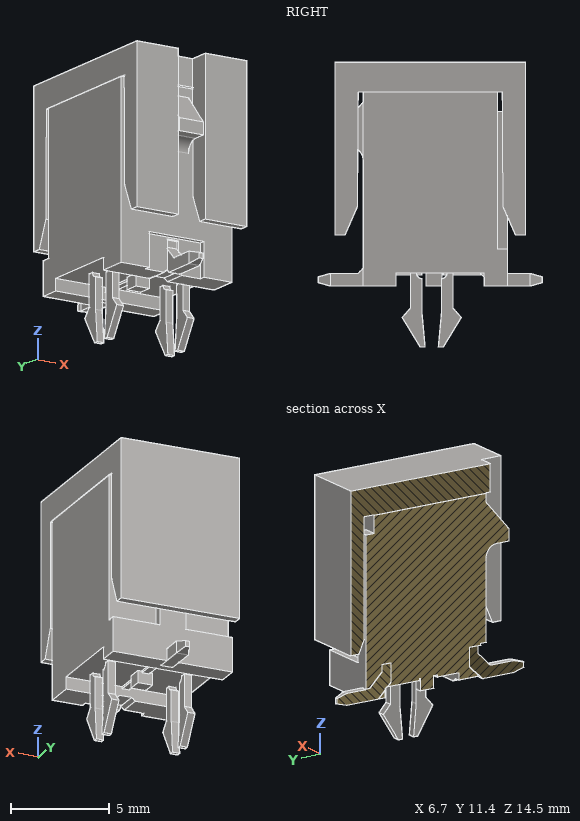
import cadquery as cq
import math

housing_width = 6.7
housing_front = -3.42
housing_rear = 3.43
housing_height = 9.87
foot_rear = 3.93
foot_height = 1.9

notch_front = -1.74
notch_rear = 2.74
notch_height = 0.67
stub_front = -0.22
stub_rear = 0.6
rib_gap_front = -0.43
rib_gap_rear = 0.65
rib_drop = 0.11
rib_width = 0.4

recess_width = 3.3
recess_depth = 0.34
flare_side = 0.2
flare_height = 0.17

latch_width = 1.45
latch_reach = 4.8
latch_top = 9.37
latch_slope_end = 7.75
latch_bottom = 7.06
latch_fillet = 0.64
rail_top = 8.9

cap_width = 6.65
cap_length = 9.7
cap_top = 11.4
leg_bottom = 2.6
leg_taper_top = 4.05
leg_inner_top = 3.66
leg_inner_low = 3.7
leg_tip_thickness = 0.52
slot_width = 1.63
rail_clearance = 0.08

pin_size = 0.66
pin_tip_width = 0.24
pin_tip_height = 0.3
pin_tip_reach = 5.7
pin_straight_reach = 5.08
pin_top = 1.8
pin_bend_outer = 2.92
pin_bend_outer_height = 1.41
pin_bend_inner = 2.41
pin_bend_inner_height = 0.79

clip_pitch = 4.27
clip_thickness = 0.41
clip_centre = 0.075
clip_top = 3.0
clip_gap_top = 2.0
clip_bottom = -3.1
clip_half_width = 1.085
clip_half_gap = 0.49
clip_relief = 0.28
clip_shoulder = -1.11
clip_barb = -1.59
clip_barb_half = 1.51
clip_taper_start = -1.35
clip_tip_inner = 0.33
clip_tip_outer = 0.59


def block(x_width, y_start, y_end, z_start, z_end):
    """Box centred on X, between the given Y and Z limits."""
    return cq.Workplane("XY").box(
        x_width, y_end - y_start, z_end - z_start, centered=(True, False, False)
    ).translate((0, y_start, z_start))


def extrude_across(profile, width):
    """Closed (Y, Z) outline drawn on the YZ plane, extruded evenly about X = 0."""
    return profile.close().extrude(width / 2, both=True)


def make_terminal(side):
    """Pin with a pyramidal tip; side is -1 for the front and +1 for the rear."""
    outer_bend_start = pin_bend_outer + pin_bend_outer_height - pin_size
    inner_bend_start = pin_bend_inner + pin_bend_inner_height
    points = [
        (pin_straight_reach, 0),
        (pin_straight_reach, pin_size),
        (outer_bend_start, pin_size),
        (pin_bend_outer, pin_bend_outer_height),
        (pin_bend_outer, pin_top),
        (pin_bend_inner, pin_top),
        (pin_bend_inner, pin_bend_inner_height),
        (inner_bend_start, 0),
    ]
    body = extrude_across(cq.Workplane("YZ").polyline(points), pin_size)
    tip = (
        cq.Workplane("XZ", origin=(0, pin_straight_reach, pin_size / 2))
        .rect(pin_size, pin_size)
        .workplane(offset=pin_straight_reach - pin_tip_reach)
        .rect(pin_tip_width, pin_tip_height)
        .loft(combine=True)
    )
    terminal = body.union(tip)
    return terminal if side > 0 else terminal.mirror("XZ")


def make_clip(x_centre):
    """Forked clip with outward barbs and a relieved slot between its legs."""
    outline = cq.Workplane("YZ").polyline([
        (-clip_half_width, clip_top),
        (clip_half_width, clip_top),
        (clip_half_width, clip_shoulder),
        (clip_barb_half, clip_barb),
        (clip_tip_outer, clip_bottom),
        (-clip_tip_outer, clip_bottom),
        (-clip_barb_half, clip_barb),
        (-clip_half_width, clip_shoulder),
    ])
    relief_half_gap = clip_half_gap + clip_relief
    relief_bottom = notch_height - clip_relief
    arc_offset = clip_relief * math.sqrt(0.5)
    arc_mid = (clip_half_gap + arc_offset, notch_height - arc_offset)
    gap = (
        cq.Workplane("YZ")
        .moveTo(-clip_tip_inner, clip_bottom)
        .lineTo(clip_tip_inner, clip_bottom)
        .lineTo(clip_half_gap, clip_taper_start)
        .lineTo(clip_half_gap, relief_bottom)
        .threePointArc(arc_mid, (relief_half_gap, notch_height))
        .lineTo(relief_half_gap, clip_gap_top)
        .lineTo(-relief_half_gap, clip_gap_top)
        .lineTo(-relief_half_gap, notch_height)
        .threePointArc((-arc_mid[0], arc_mid[1]), (-clip_half_gap, relief_bottom))
        .lineTo(-clip_half_gap, clip_taper_start)
    )
    clip = extrude_across(outline, clip_thickness).cut(extrude_across(gap, clip_thickness))
    return clip.translate((x_centre, clip_centre, 0))


def make_latch():
    """Ramped catch with a concave fillet under it."""
    arc_centre_y = housing_front - latch_fillet
    arc_centre_z = latch_bottom - latch_fillet
    arc_offset = latch_fillet * math.sqrt(0.5)
    profile = (
        cq.Workplane("YZ")
        .moveTo(housing_front, latch_top)
        .lineTo(-latch_reach, latch_slope_end)
        .lineTo(-latch_reach, latch_bottom)
        .lineTo(arc_centre_y, latch_bottom)
        .threePointArc(
            (arc_centre_y + arc_offset, arc_centre_z + arc_offset),
            (housing_front, arc_centre_z),
        )
    )
    return extrude_across(profile, latch_width)


def make_flare():
    """Trapezoidal widening of the terminal channel at the base of the front wall."""
    half_pin = pin_size / 2
    return (
        cq.Workplane("XZ", origin=(0, housing_front, 0))
        .polyline([
            (-half_pin - flare_side, 0),
            (half_pin + flare_side, 0),
            (half_pin, flare_height),
            (-half_pin, flare_height),
        ])
        .close()
        .extrude(housing_front - notch_front)
    )


def make_housing(inserts):
    """Solid housing with channels that match the inserted terminals and clips."""
    body = block(housing_width, housing_front, housing_rear, 0, housing_height)
    body = body.union(block(housing_width, housing_rear, foot_rear, 0, foot_height))
    body = body.cut(block(housing_width, notch_front, notch_rear, 0, notch_height))
    body = body.union(block(stub_rear - stub_front, stub_front, stub_rear, 0, notch_height))
    for rib_start, rib_end in [(notch_front, rib_gap_front), (rib_gap_rear, notch_rear)]:
        body = body.union(block(rib_width, rib_start, rib_end, notch_height - rib_drop, notch_height))
    body = body.cut(block(recess_width, housing_front, housing_front + recess_depth, 0, foot_height))
    body = body.cut(block(pin_size, housing_front, -pin_bend_outer, 0, pin_top))
    body = body.cut(make_flare())
    body = body.union(make_latch())
    body = body.union(block(latch_width, housing_rear, foot_rear, foot_height, rail_top))
    for insert in inserts:
        body = body.cut(insert)
    return body


def make_cap():
    """Cap with two tapered legs, a latch slot in front and a rail groove behind."""
    half_length = cap_length / 2
    leg_tip_inner = half_length - leg_tip_thickness
    profile = cq.Workplane("YZ").polyline([
        (-half_length, cap_top),
        (half_length, cap_top),
        (half_length, leg_bottom),
        (leg_tip_inner, leg_bottom),
        (leg_inner_low, leg_taper_top),
        (leg_inner_top, housing_height),
        (-leg_inner_top, housing_height),
        (-leg_inner_low, leg_taper_top),
        (-leg_tip_inner, leg_bottom),
        (-half_length, leg_bottom),
    ])
    latch_slot = block(slot_width, -half_length, -leg_inner_top, leg_bottom, cap_top)
    rail_groove = block(
        slot_width, leg_inner_top, foot_rear + rail_clearance, leg_bottom, housing_height
    )
    return extrude_across(profile, cap_width).cut(latch_slot).cut(rail_groove)


terminals = [make_terminal(side) for side in (-1, 1)]
clips = [make_clip(side * clip_pitch / 2) for side in (-1, 1)]
housing = make_housing(terminals + clips)
cap = make_cap()

result = cq.Compound.makeCompound(
    [housing.val(), cap.val()]
    + [terminal.val() for terminal in terminals]
    + [clip.val() for clip in clips]
)